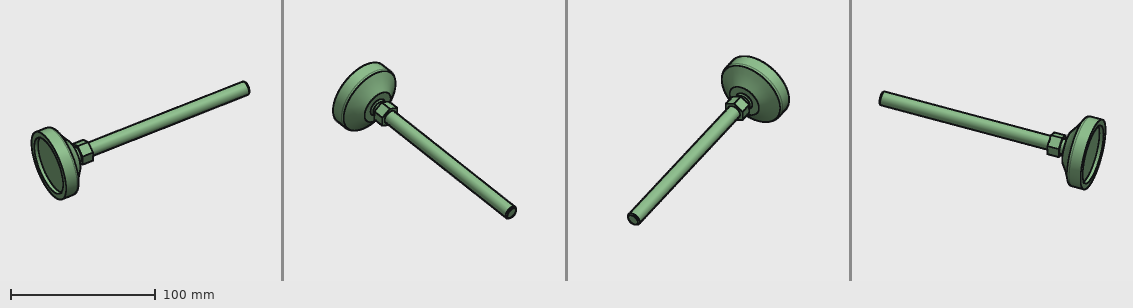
import cadquery as cq
import math

total_length = 156.0

foot_radius = 50.0 / 2
rim_height = 8.6
shoulder_radius = 24.3
shoulder_height = 10.3
foot_height = 18.4
crown_radius = 12.2
flank_sag = 0.5
recess_radius = 41.5 / 2
recess_depth = 3.0

neck_radius = 11.0 / 2
flare_width = 1.1
flare_height = 1.4

hex_across_flats = 14.0
hex_start = 22.8
hex_length = 8.3

rod_radius = 10.0 / 2
tip_chamfer = 1.0


def flank_midpoint():
    """Middle of the hollow flank, pushed in from its chord by the sag."""
    run = shoulder_radius - crown_radius
    rise = foot_height - shoulder_height
    chord = math.hypot(run, rise)
    return (
        (shoulder_radius + crown_radius) / 2 - flank_sag * rise / chord,
        (shoulder_height + foot_height) / 2 - flank_sag * run / chord,
    )


def make_turned_body():
    """Foot, neck and rod revolved as a single profile of (radius, y)."""
    flare_top = foot_height + flare_height
    profile = (
        cq.Workplane("XY")
        .moveTo(0, recess_depth)
        .lineTo(recess_radius, recess_depth)
        .lineTo(recess_radius, 0)
        .lineTo(foot_radius, 0)
        .lineTo(foot_radius, rim_height)
        .tangentArcPoint((shoulder_radius, shoulder_height), relative=False)
        .threePointArc(flank_midpoint(), (crown_radius, foot_height))
        .lineTo(neck_radius + flare_width, foot_height)
        .lineTo(neck_radius, flare_top)
        .lineTo(neck_radius, hex_start)
        .lineTo(rod_radius, hex_start)
        .lineTo(rod_radius, total_length - tip_chamfer)
        .lineTo(rod_radius - tip_chamfer, total_length)
        .lineTo(0, total_length)
        .close()
    )
    return profile.revolve(360, (0, 0, 0), (0, 1, 0))


def make_hexagon():
    """Wrench hexagon between the neck and the rod."""
    across_corners = hex_across_flats / math.cos(math.pi / 6)
    return (
        cq.Workplane("XZ", origin=(0, hex_start, 0))
        .transformed(rotate=(0, 0, 90))
        .polygon(6, across_corners)
        .extrude(-hex_length)
    )


result = make_turned_body().union(make_hexagon())